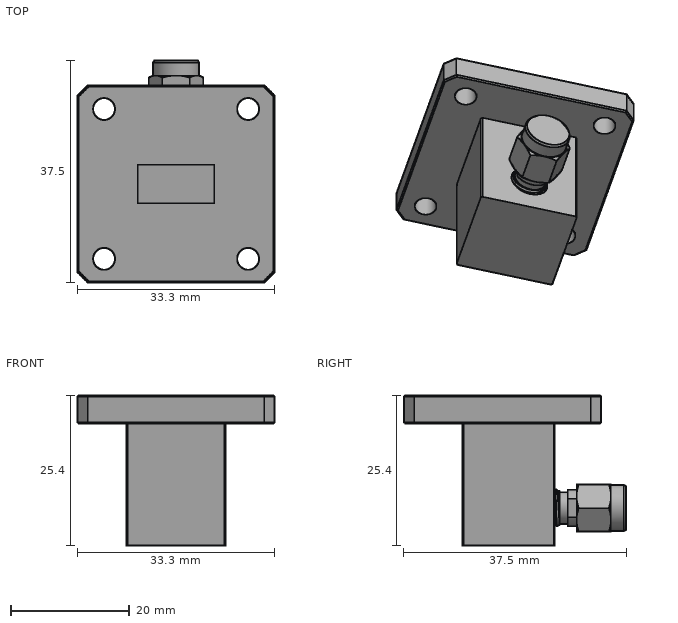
import cadquery as cq
import math

INCH = 25.4
TOTAL_HEIGHT = INCH
CONNECTOR_END_Y = 20.88

FLANGE_SIZE = 33.32
FLANGE_THICKNESS = 4.8
FLANGE_CORNER_CHAMFER = 1.75
FLANGE_EDGE_CHAMFER = 0.25
BOLT_SPACING_X = 24.33
BOLT_SPACING_Y = 25.3
BOLT_HOLE_DIAMETER = 3.66

WINDOW_LENGTH = 12.95
WINDOW_WIDTH = 6.48
WINDOW_DEPTH = 0.25

BODY_WIDTH = 16.8
BODY_FRONT_Y = -6.85
BODY_BACK_Y = 8.85
BODY_EDGE_CHAMFER = 0.25

CONNECTOR_AXIS_Z = -19.05
THREAD_RADIUS = 3.2
THREADS_PER_INCH = 36
THREAD_PITCH = INCH / THREADS_PER_INCH
THREAD_GROOVE_WIDTH = 0.75 * THREAD_PITCH
THREAD_ROOT_RADIUS = 2.8
THREAD_END_RADIUS = 2.85
THREAD_BEVEL_LENGTH = 0.65
THREAD_GROOVE_TOP_Y = 9.35
THREAD_TURNS = 4
THREAD_CUT_OVERSHOOT = 0.1
NECK_RADIUS = 2.7
NECK_START_Y = 9.62
SHOULDER_RADIUS = 3.12
SHOULDER_START_Y = 11.0
SHOULDER_FLAT_WIDTH = 3.1
HEX_ACROSS_FLATS = 8.0
HEX_START_Y = 12.5
HEX_END_Y = 18.3
HEX_CORNER_BEVEL_ANGLE = 30
SLEEVE_RADIUS = 3.9
SLEEVE_BEVEL_LENGTH = 0.4
SLEEVE_BEVEL_DEPTH = 0.22


def make_flange():
    plate = (
        cq.Workplane("XY")
        .rect(FLANGE_SIZE, FLANGE_SIZE)
        .extrude(-FLANGE_THICKNESS)
        .edges("|Z").chamfer(FLANGE_CORNER_CHAMFER)
        .faces("<Z or >Z").edges().chamfer(FLANGE_EDGE_CHAMFER)
    )
    holes = (
        cq.Workplane("XY")
        .rect(BOLT_SPACING_X, BOLT_SPACING_Y, forConstruction=True)
        .vertices()
        .circle(BOLT_HOLE_DIAMETER / 2)
        .extrude(-FLANGE_THICKNESS)
    )
    window = cq.Workplane("XY").rect(WINDOW_LENGTH, WINDOW_WIDTH).extrude(-WINDOW_DEPTH)
    return plate.cut(holes).cut(window)


def make_body():
    depth = BODY_BACK_Y - BODY_FRONT_Y
    return (
        cq.Workplane("XY", origin=(0, (BODY_BACK_Y + BODY_FRONT_Y) / 2, -TOTAL_HEIGHT))
        .rect(BODY_WIDTH, depth)
        .extrude(TOTAL_HEIGHT - FLANGE_THICKNESS)
        .edges("|Z").chamfer(BODY_EDGE_CHAMFER)
    )


def connector_plane(y):
    """Work plane across the connector axis at the given Y, facing +Y."""
    plane = cq.Plane(origin=(0, y, CONNECTOR_AXIS_Z), xDir=(-1, 0, 0), normal=(0, 1, 0))
    return cq.Workplane(plane)


def make_rod(radius, start_y, end_y):
    return connector_plane(start_y).circle(radius).extrude(end_y - start_y)


def make_thread_groove():
    """Right-hand helical V groove, centred on THREAD_GROOVE_TOP_Y where it passes the top (+Z) side."""
    length = THREAD_TURNS * THREAD_PITCH
    depth = THREAD_RADIUS - THREAD_ROOT_RADIUS
    half_width = THREAD_GROOVE_WIDTH / 2 * (depth + THREAD_CUT_OVERSHOOT) / depth
    outer_radius = THREAD_RADIUS + THREAD_CUT_OVERSHOOT
    helix = cq.Wire.makeHelix(THREAD_PITCH, length, THREAD_RADIUS)
    groove = (
        cq.Workplane("XZ")
        .polyline([(THREAD_ROOT_RADIUS, 0), (outer_radius, half_width), (outer_radius, -half_width)])
        .close()
        .sweep(cq.Workplane(helix), isFrenet=True)
    )
    return (
        groove
        .rotate((0, 0, 0), (1, 0, 0), -90)
        .rotate((0, 0, 0), (0, 1, 0), -90)
        .translate((0, THREAD_GROOVE_TOP_Y - THREAD_TURNS / 2 * THREAD_PITCH, CONNECTOR_AXIS_Z))
    )


def make_thread():
    """Exposed end of the mounting thread, bevelled down towards the neck."""
    bevel_depth = THREAD_RADIUS - THREAD_END_RADIUS
    envelope = (
        make_rod(THREAD_RADIUS, BODY_BACK_Y - THREAD_PITCH, NECK_START_Y)
        .faces(">Y").edges().chamfer(THREAD_BEVEL_LENGTH, bevel_depth)
    )
    half_length = (THREAD_TURNS / 2 + 1) * THREAD_PITCH
    stock = make_rod(THREAD_RADIUS, THREAD_GROOVE_TOP_Y - half_length, THREAD_GROOVE_TOP_Y + half_length)
    return stock.cut(make_thread_groove()).intersect(envelope)


def make_shoulder():
    """Round shoulder with two wrench flats facing -X and +X."""
    length = HEX_START_Y - SHOULDER_START_Y
    half_width = math.sqrt(SHOULDER_RADIUS**2 - (SHOULDER_FLAT_WIDTH / 2) ** 2)
    flats = connector_plane(SHOULDER_START_Y).rect(2 * half_width, 2 * SHOULDER_RADIUS).extrude(length)
    return make_rod(SHOULDER_RADIUS, SHOULDER_START_Y, HEX_START_Y).intersect(flats)


def make_hex():
    """Hexagon with flats on top and bottom and corners bevelled at both ends."""
    length = HEX_END_Y - HEX_START_Y
    corner_radius = HEX_ACROSS_FLATS / math.sqrt(3)
    bevel_radial = corner_radius - HEX_ACROSS_FLATS / 2
    bevel_axial = bevel_radial * math.tan(math.radians(HEX_CORNER_BEVEL_ANGLE))
    prism = connector_plane(HEX_START_Y).polygon(6, 2 * corner_radius).extrude(length)
    bevelled_rod = (
        make_rod(corner_radius, HEX_START_Y, HEX_END_Y)
        .faces("<Y or >Y").edges().chamfer(bevel_axial, bevel_radial)
    )
    return prism.intersect(bevelled_rod)


def make_sleeve():
    return (
        make_rod(SLEEVE_RADIUS, HEX_END_Y, CONNECTOR_END_Y)
        .faces(">Y").edges().chamfer(SLEEVE_BEVEL_LENGTH, SLEEVE_BEVEL_DEPTH)
    )


def make_connector():
    neck = make_rod(NECK_RADIUS, NECK_START_Y, SHOULDER_START_Y)
    return make_thread().union(neck).union(make_shoulder()).union(make_hex()).union(make_sleeve())


result = make_flange().union(make_body()).union(make_connector())